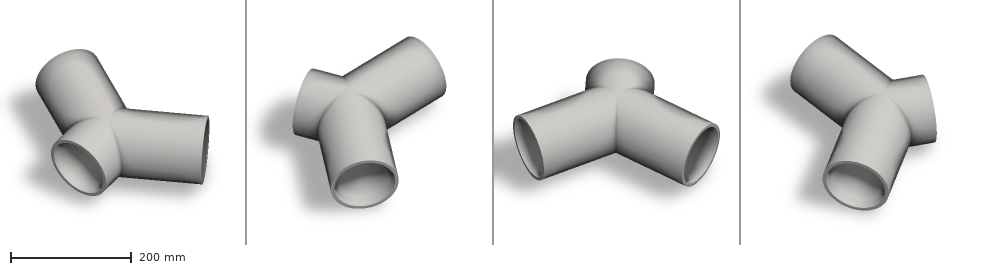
import cadquery as cq
import math

overall_width = 343.0
overall_depth = 208.3
outer_diameter = 114.3
bore_diameter = 102.2
branch_angle = 30.0

outer_radius = outer_diameter / 2
cosine = math.cos(math.radians(branch_angle))
sine = math.sin(math.radians(branch_angle))

branch_length = (overall_width / 2 - outer_radius * sine) / cosine
branch_reach = branch_length * sine + outer_radius * cosine
stub_length = overall_depth - branch_reach

pipes = [
    (cq.Vector(cosine, sine, 0), branch_length),
    (cq.Vector(-cosine, sine, 0), branch_length),
    (cq.Vector(0, -1, 0), stub_length),
]


def joined_cylinders(diameter):
    """Union of one cylinder per pipe, each running from the origin to its open end."""
    cylinders = [
        cq.Solid.makeCylinder(diameter / 2, length, cq.Vector(0, 0, 0), direction)
        for direction, length in pipes
    ]
    return cq.Workplane(cylinders[0].fuse(*cylinders[1:]))


def pipe_junction():
    """Outer pipes with their connected bores removed."""
    return joined_cylinders(outer_diameter).cut(joined_cylinders(bore_diameter))


result = pipe_junction()